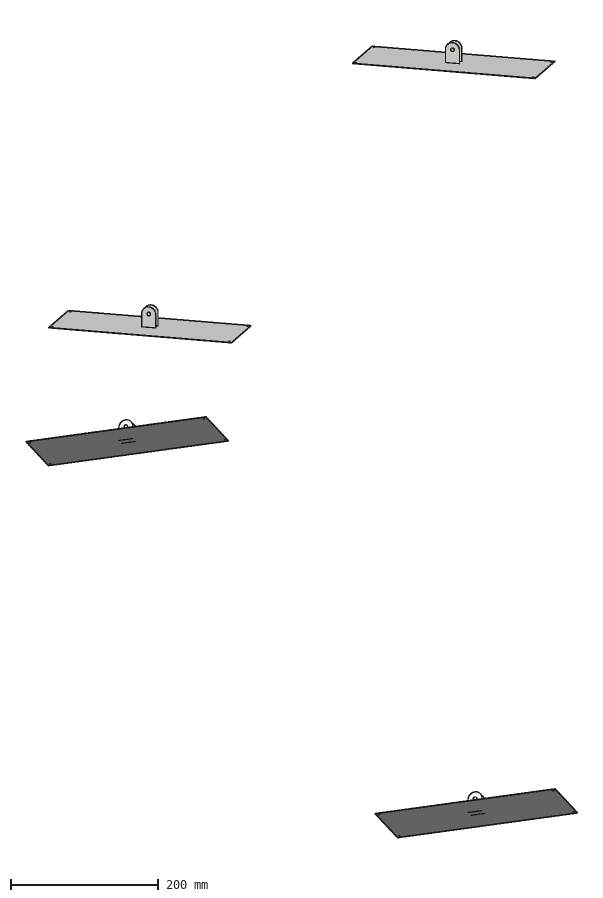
import cadquery as cq

overall_length = 1490.0
overall_height = 30.0

plate_length = 260.0
plate_thickness = 1.0
corner_hole_diameter = 1.6
corner_hole_inset = 4.0
corner_hole_spacing_x = plate_length - 2 * corner_hole_inset
corner_hole_spacing_y = 82.0
plate_width = corner_hole_spacing_y + 2 * corner_hole_inset
bracket_pitch = overall_length - plate_width

lug_radius = 10.0
lug_thickness = 1.0
lug_gap = 10.0
lug_hole_diameter = 5.0
lug_hole_height = overall_height - lug_radius


def make_base_plate():
    """Flat plate standing on Z = 0, with a small hole near each corner."""
    return (
        cq.Workplane("XY")
        .box(plate_length, plate_width, plate_thickness, centered=(True, True, False))
        .faces(">Z")
        .workplane()
        .rect(corner_hole_spacing_x, corner_hole_spacing_y, forConstruction=True)
        .vertices()
        .hole(corner_hole_diameter)
    )


def make_lug(center_y):
    """Upright lug with a full-round top and a cross hole along Y."""
    lug_plane = cq.Workplane("XZ", origin=(0, center_y + lug_thickness / 2, 0))
    lug = (
        lug_plane
        .moveTo(-lug_radius, 0)
        .lineTo(lug_radius, 0)
        .lineTo(lug_radius, lug_hole_height)
        .threePointArc((0, overall_height), (-lug_radius, lug_hole_height))
        .close()
        .extrude(lug_thickness)
    )
    hole = lug_plane.center(0, lug_hole_height).circle(lug_hole_diameter / 2).extrude(lug_thickness)
    return lug.cut(hole)


def make_bracket(center_y):
    """One plate with its two lugs, as a single solid centred at center_y."""
    lug_offset = (lug_gap + lug_thickness) / 2
    bracket = make_base_plate()
    for side in (-1, 1):
        bracket = bracket.union(make_lug(side * lug_offset))
    return bracket.translate((0, center_y, 0))


brackets = [make_bracket(side * bracket_pitch / 2) for side in (-1, 1)]

result = cq.Compound.makeCompound([bracket.val() for bracket in brackets])